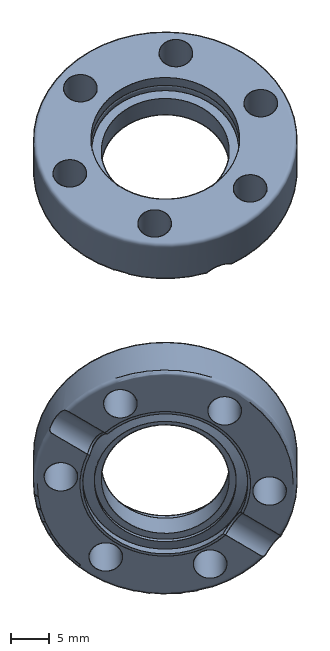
import cadquery as cq

flange_diameter = 34.0
flange_height = 7.6
edge_radius = 0.5
ring_bore_diameter = 19.18
bolt_hole_diameter = 4.32
bolt_circle_diameter = 27.0
bolt_count = 6
first_bolt_angle = 30.0

insert_diameter = 22.0
insert_height = 5.85
socket_diameter = 18.97
socket_floor_height = 4.83
rim_radius = 0.4
bore_diameter = 16.5

recess_diameter = 21.3
recess_depth = 1.15
knife_diameter = 18.3
knife_tip_height = 0.58

notch_depth = 1.1
notch_radius = 2.35


def make_ring():
    """Outer ring with rounded rims, a stepped bore and a circle of bolt holes."""
    ring = cq.Workplane("XY").circle(flange_diameter / 2).extrude(flange_height)
    ring = ring.faces("<Z or >Z").edges().fillet(edge_radius)
    bore = cq.Workplane("XY").circle(ring_bore_diameter / 2).extrude(flange_height)
    seat = cq.Workplane("XY").circle(insert_diameter / 2).extrude(insert_height)
    bolt_holes = (
        cq.Workplane("XY")
        .polarArray(bolt_circle_diameter / 2, first_bolt_angle, 360, bolt_count)
        .circle(bolt_hole_diameter / 2)
        .extrude(flange_height)
    )
    return ring.cut(bore).cut(seat).cut(bolt_holes)


def make_insert():
    """Turned insert: a rounded socket on top and a knife edge in the recess below."""
    outer = insert_diameter / 2
    socket = socket_diameter / 2
    bore = bore_diameter / 2
    recess = recess_diameter / 2
    knife = knife_diameter / 2
    rim_middle = rim_radius * (1 - 0.5 ** 0.5)
    profile = (
        cq.Workplane("XZ")
        .moveTo(outer, 0)
        .lineTo(outer, insert_height)
        .lineTo(socket + rim_radius, insert_height)
        .threePointArc(
            (socket + rim_middle, insert_height - rim_middle),
            (socket, insert_height - rim_radius),
        )
        .lineTo(socket, socket_floor_height)
        .lineTo(bore, socket_floor_height)
        .lineTo(bore, recess_depth)
        .lineTo(knife, recess_depth)
        .lineTo(knife, knife_tip_height)
        .lineTo(recess, recess_depth)
        .lineTo(recess, 0)
        .close()
    )
    return profile.revolve(360, (0, 0, 0), (0, 1, 0))


def make_notches():
    """Cutters for two notches, running from the recess wall out through -X and +X."""
    bar = (
        cq.Workplane("YZ")
        .center(0, notch_depth - notch_radius)
        .circle(notch_radius)
        .extrude(flange_diameter / 2, both=True)
    )
    knife_area = cq.Workplane("XY").circle(recess_diameter / 2).extrude(recess_depth)
    return bar.cut(knife_area)


notches = make_notches()
ring = make_ring().cut(notches)
insert = make_insert().cut(notches)

result = cq.Compound.makeCompound([*ring.solids().vals(), *insert.solids().vals()])